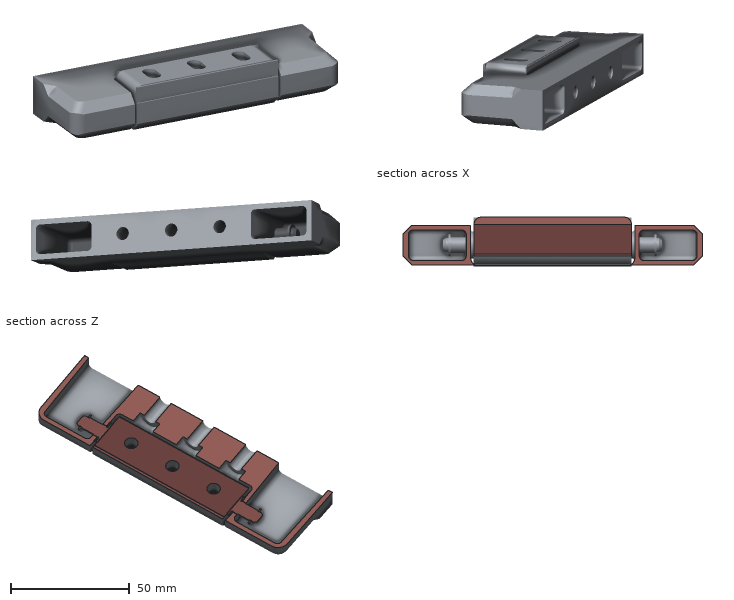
import cadquery as cq
import math

housing_length = 127.0
housing_depth = 38.0
housing_height = 17.3
draft_angle = 0.5
edge_chamfer = 4.0
corner_radius = 5.1
runout_start = 9.5
runout_end = 13.8
axis_z = housing_height / 2

end_gap = 1.3
recess_back = 16.9
recess_round_radius = 9.4
recess_round_height = 6.6
recess_corner_radius = 1.8

pocket_wall = 2.3
pocket_inner_end = 36.1
pocket_height = 12.7
pocket_depth = housing_depth - pocket_wall
pocket_side_draft = 0.9
pocket_fillet = 1.9

fixing_pitch = 22.0
fixing_diameter = 5.6
fixing_head_diameter = 9.9
fixing_head_depth = 5.1

leaf_half_length = 33.3
leaf_bottom = -0.4
plate_top = 20.6
plate_thickness = 3.2
plate_bottom = plate_top - plate_thickness
cover_top = plate_top - 0.4
cover_back = 18.0
cover_front = housing_depth
cover_thickness = 0.45
cover_round_radius = 8.3
cover_chamfer = 4.2
cover_ledge_height = 13.2
cover_lip_front = 37.3
core_front = 36.5
core_chamfer = 3.0

slot_pitch = 21.1
slot_x = 26.9
slot_length = 10.4
slot_width = 6.1
core_hole_diameter = 5.5

axis_x = 28.89
head_diameter = 11.4
journal_diameter = 6.6
journal_end = 43.0
tail_diameter = 6.1
tail_end = 45.0
tip_diameter = 4.6
tip_end = 46.1
washer_diameter = 12.3
washer_thickness = 0.4
ring_diameter = 9.1
ring_thickness = 0.9

recess_half_length = leaf_half_length + end_gap
sides = (-1, 1)


def extrude_along_y(profile, half_length):
    """Extrude an XZ profile equally to both sides of y = 0."""
    return profile.extrude(half_length, both=True)


def disc(diameter, start, end):
    """A cylinder on the pivot axis between two y positions."""
    plane = cq.Workplane("XZ", origin=(axis_x, start, axis_z))
    return plane.circle(diameter / 2).extrude(start - end)


def at_side(shape, side):
    """The shape built at +Y, or its mirror image at -Y."""
    return shape if side > 0 else shape.mirror("XZ")


def edge_lean(x):
    """How far the drafted long sides have moved inwards at a distance x from the back face."""
    return x * math.tan(math.radians(draft_angle))


def plain_bar():
    plane = cq.Workplane("YZ", origin=(0, 0, axis_z))
    return plane.rect(housing_length, housing_height).extrude(housing_depth, taper=draft_angle)


def hip_roof(side_z):
    """A hipped block whose sloping faces are the chamfer planes, with its front hips rounded."""
    rise = housing_height / 2
    overhang = rise - edge_chamfer
    back = -housing_height
    front = housing_depth - edge_lean(housing_depth) + overhang
    back_half_width = housing_length / 2 - 2 * edge_lean(back) + overhang
    front_half_width = housing_length / 2 - 2 * edge_lean(front) + overhang
    base = [
        (back, -back_half_width),
        (front, -front_half_width),
        (front, front_half_width),
        (back, back_half_width),
    ]
    roof = cq.Workplane("XY").polyline(base).close().extrude(rise, taper=45)
    front_half = cq.selectors.BoxSelector(
        (housing_depth / 2, -housing_length, rise / 4),
        (2 * housing_depth, housing_length, rise * 3 / 4),
    )
    roof = roof.edges(front_half).fillet(corner_radius)
    if side_z < 0:
        roof = roof.mirror("XY")
    return roof.translate((0, 0, axis_z))


def chamfered_bar():
    """The bar with rounded front corners, trimmed above and below by the chamfer planes."""
    bar = plain_bar().edges("|Z").edges(">X").fillet(corner_radius)
    return bar.intersect(hip_roof(1).union(hip_roof(-1)))


def runout_wedge(side_y, side_z):
    """The tetrahedron cut from one long edge where an end chamfer fades out."""
    def edge_point(x, inset_y=0.0, inset_z=0.0):
        lean = edge_lean(x)
        y = side_y * (housing_length / 2 - lean - inset_y)
        z = axis_z + side_z * (housing_height / 2 - lean - inset_z)
        return cq.Vector(x, y, z)

    apex = edge_point(runout_start)
    corner = edge_point(runout_end)
    inner = edge_point(runout_end, inset_y=edge_chamfer)
    lower = edge_point(runout_end, inset_z=edge_chamfer)
    triangles = [(apex, corner, inner), (apex, inner, lower), (apex, lower, corner), (corner, lower, inner)]
    faces = [cq.Face.makeFromWires(cq.Wire.makePolygon(list(t), close=True)) for t in triangles]
    return cq.Workplane(cq.Solid.makeSolid(cq.Shell.makeShell(faces)))


def housing_outside():
    rear_zone = cq.Workplane("YZ").rect(2 * housing_length, 2 * housing_length).extrude(runout_end)
    rear = plain_bar().intersect(rear_zone)
    for side_y in sides:
        for side_z in sides:
            rear = rear.cut(runout_wedge(side_y, side_z))
    return rear.union(chamfered_bar().cut(rear_zone))


def leaf_recess():
    clear_x = housing_depth + end_gap
    clear_z = housing_height + end_gap
    sag = math.sqrt(recess_round_radius**2 - recess_round_height**2)
    curve_foot = recess_back + recess_round_radius - sag
    half_turn = math.asin(recess_round_height / recess_round_radius) / 2
    curve_middle = (
        recess_back + recess_round_radius * (1 - math.cos(half_turn)),
        recess_round_height - recess_round_radius * math.sin(half_turn),
    )
    profile = (
        cq.Workplane("XZ")
        .moveTo(recess_back, clear_z)
        .lineTo(recess_back, recess_round_height)
        .threePointArc(curve_middle, (curve_foot, 0))
        .lineTo(curve_foot, -end_gap)
        .lineTo(clear_x, -end_gap)
        .lineTo(clear_x, clear_z)
        .close()
    )
    recess = extrude_along_y(profile, recess_half_length)
    upright_back = cq.selectors.BoxSelector(
        (recess_back - 1.3, -housing_length, recess_round_height),
        (recess_back + 1.3, housing_length, clear_z),
    )
    return recess.edges("|Z").edges(upright_back).fillet(recess_corner_radius)


def end_pocket():
    pocket_outer_end = housing_length / 2 - pocket_wall
    mouth_width = pocket_outer_end - pocket_inner_end
    middle_y = (pocket_outer_end + pocket_inner_end) / 2
    pocket = (
        cq.Workplane("YZ", origin=(0, middle_y, axis_z))
        .rect(mouth_width, pocket_height)
        .workplane(offset=pocket_depth)
        .rect(mouth_width - 2 * pocket_side_draft, pocket_height)
        .loft()
    )
    return pocket.edges("not(<X)").fillet(pocket_fillet)


def fixing_hole(y):
    plane = cq.Workplane("YZ", origin=(0, y, axis_z))
    shank = plane.circle(fixing_diameter / 2).extrude(recess_back)
    head_floor = recess_back - fixing_head_depth
    head = plane.workplane(offset=head_floor).circle(fixing_head_diameter / 2).extrude(2 * fixing_head_depth)
    return shank.union(head)


def make_housing():
    body = housing_outside().cut(leaf_recess())
    for side in sides:
        body = body.cut(at_side(end_pocket(), side))
        body = body.cut(at_side(disc(journal_diameter, leaf_half_length, journal_end), side))
    for step in (-1, 0, 1):
        body = body.cut(fixing_hole(step * fixing_pitch))
    return body


def leaf_profile(back, front, bottom, top, radius, chamfer):
    """A U-section: round at the bottom back, chamfered at the bottom front."""
    diagonal = radius * (1 - math.sqrt(0.5))
    return (
        cq.Workplane("XZ")
        .moveTo(back, top)
        .lineTo(back, bottom + radius)
        .threePointArc((back + diagonal, bottom + diagonal), (back + radius, bottom))
        .lineTo(front - chamfer, bottom)
        .lineTo(front, bottom + chamfer)
        .lineTo(front, top)
        .close()
    )


def core_profile(top):
    return leaf_profile(
        cover_back + cover_thickness,
        core_front,
        leaf_bottom + cover_thickness,
        top,
        cover_round_radius - cover_thickness,
        core_chamfer,
    )


def make_cover():
    outside = extrude_along_y(
        leaf_profile(cover_back, cover_front, leaf_bottom, cover_top, cover_round_radius, cover_chamfer),
        leaf_half_length,
    )
    ledge = cq.Workplane("XY").box(
        cover_front - cover_lip_front,
        2 * leaf_half_length,
        cover_top - cover_ledge_height,
        centered=(False, True, False),
    ).translate((cover_lip_front, 0, cover_ledge_height))
    return outside.cut(ledge).cut(extrude_along_y(core_profile(plate_top), leaf_half_length))


def screw_places():
    """A workplane with the three screw positions of the leaf, level with the top of the core."""
    places = [(slot_x, step * slot_pitch) for step in (-1, 0, 1)]
    return cq.Workplane("XY", origin=(0, 0, plate_bottom)).pushPoints(places)


def make_core():
    block = extrude_along_y(core_profile(plate_bottom), leaf_half_length)
    holes = screw_places().circle(core_hole_diameter / 2).extrude(leaf_bottom - plate_bottom)
    return block.cut(holes)


def make_plate():
    """The slotted plate; each end is a quarter round as deep as the plate is thick."""
    shoulder = leaf_half_length - plate_thickness
    bend = plate_thickness * math.sqrt(0.5)
    plate_back = cover_back + cover_thickness
    plate = (
        cq.Workplane("YZ", origin=(plate_back, 0, plate_bottom))
        .moveTo(-leaf_half_length, 0)
        .threePointArc((-shoulder - bend, bend), (-shoulder, plate_thickness))
        .lineTo(shoulder, plate_thickness)
        .threePointArc((shoulder + bend, bend), (leaf_half_length, 0))
        .close()
        .extrude(core_front - plate_back)
    )
    return plate.cut(screw_places().slot2D(slot_length, slot_width).extrude(plate_thickness))


def make_pin():
    """Head against the leaf, journal through the housing wall, thinner tail with a tapered tip."""
    head = disc(head_diameter, leaf_half_length, recess_half_length - washer_thickness)
    journal = disc(journal_diameter, leaf_half_length, journal_end)
    tail = disc(tail_diameter, journal_end, tip_end)
    tip_taper = (tail_diameter - tip_diameter) / 2
    tail = tail.faces(">Y").chamfer(tip_end - tail_end, tip_taper)
    return head.union(journal).union(tail)


def make_washer():
    start = recess_half_length - washer_thickness
    outside = disc(washer_diameter, start, recess_half_length)
    return outside.cut(disc(journal_diameter, start, recess_half_length))


def make_ring():
    end = journal_end + ring_thickness
    return disc(ring_diameter, journal_end, end).cut(disc(tail_diameter, journal_end, end))


housing = make_housing()
cover = make_cover()
core = make_core()
plate = make_plate()
pivot_parts = []
for side in sides:
    for part in (make_pin(), make_washer(), make_ring()):
        pivot_parts.append(at_side(part, side).val())

result = cq.Compound.makeCompound([housing.val(), cover.val(), core.val(), plate.val(), *pivot_parts])